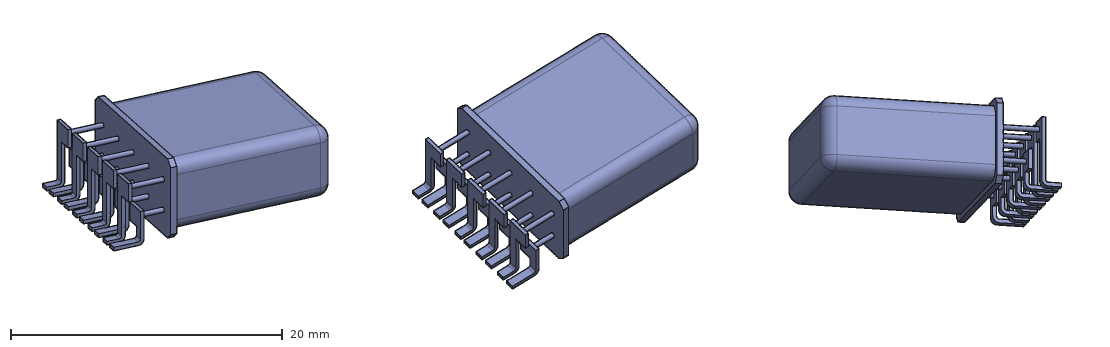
import cadquery as cq

FLANGE_WIDTH = 12.5
FLANGE_HEIGHT = 6.5
FLANGE_THICKNESS = 0.5
FLANGE_CHAMFER = 0.5
CENTER_Z = FLANGE_HEIGHT / 2

FLANGE_RIM = 0.4
CAN_WIDTH = FLANGE_WIDTH - 2 * FLANGE_RIM
CAN_HEIGHT = FLANGE_HEIGHT - 2 * FLANGE_RIM
CAN_LENGTH = 13.0
CAN_FILLET = 1.0

PIN_COUNT = 5
PIN_PITCH = 2.5
PIN_DIAMETER = 0.4
LOWER_PIN_Z = 2.0
UPPER_PIN_Z = 4.5
LOWER_PIN_LENGTH = 2.0
UPPER_PIN_LENGTH = 3.0

LEAD_THICKNESS = 0.3
BEND_INNER_RADIUS = 0.2
BEND_OUTER_RADIUS = BEND_INNER_RADIUS + LEAD_THICKNESS
HEAD_WIDTH = 1.8
HEAD_HEIGHT = 1.5
LEG_WIDTH = 0.7
LEG_OFFSET = (HEAD_WIDTH - LEG_WIDTH) / 2
FOOT_TIP_Y = -4.5


def make_flange():
    return (
        cq.Workplane("XY")
        .box(FLANGE_WIDTH, FLANGE_THICKNESS, FLANGE_HEIGHT)
        .translate((0, FLANGE_THICKNESS / 2, CENTER_Z))
        .edges("|Y")
        .chamfer(FLANGE_CHAMFER)
    )


def make_can():
    return (
        cq.Workplane("XY")
        .box(CAN_WIDTH, CAN_LENGTH, CAN_HEIGHT)
        .translate((0, FLANGE_THICKNESS + CAN_LENGTH / 2, CENTER_Z))
        .edges("|Y or >Y")
        .fillet(CAN_FILLET)
    )


def make_pin(x, z, length):
    return (
        cq.Workplane("XZ")
        .center(x, z)
        .circle(PIN_DIAMETER / 2)
        .extrude(length)
    )


def make_leg(x, back_y, top_z):
    """Leg centred on x that drops from top_z and bends forward into a foot resting on Z = 0."""
    front_y = back_y - LEAD_THICKNESS
    return (
        cq.Workplane("YZ", origin=(x - LEG_WIDTH / 2, 0, 0))
        .moveTo(back_y, top_z)
        .lineTo(back_y, BEND_OUTER_RADIUS)
        .radiusArc((back_y - BEND_OUTER_RADIUS, 0), BEND_OUTER_RADIUS)
        .lineTo(FOOT_TIP_Y, 0)
        .lineTo(FOOT_TIP_Y, LEAD_THICKNESS)
        .lineTo(front_y - BEND_INNER_RADIUS, LEAD_THICKNESS)
        .radiusArc((front_y, BEND_OUTER_RADIUS), -BEND_INNER_RADIUS)
        .lineTo(front_y, top_z)
        .close()
        .extrude(LEG_WIDTH)
    )


def make_lead(x, pin_z, pin_length, leg_offset):
    """Pin with its head centred on it, and the leg shifted sideways by leg_offset."""
    back_y = -pin_length
    head = (
        cq.Workplane("XY")
        .box(HEAD_WIDTH, LEAD_THICKNESS, HEAD_HEIGHT)
        .translate((x, back_y - LEAD_THICKNESS / 2, pin_z))
    )
    leg = make_leg(x + leg_offset, back_y, pin_z)
    return make_pin(x, pin_z, pin_length).union(head).union(leg)


result = make_flange().union(make_can())
for index in range(PIN_COUNT):
    pin_x = (index - (PIN_COUNT - 1) / 2) * PIN_PITCH
    result = result.union(make_lead(pin_x, UPPER_PIN_Z, UPPER_PIN_LENGTH, -LEG_OFFSET))
    result = result.union(make_lead(pin_x, LOWER_PIN_Z, LOWER_PIN_LENGTH, LEG_OFFSET))